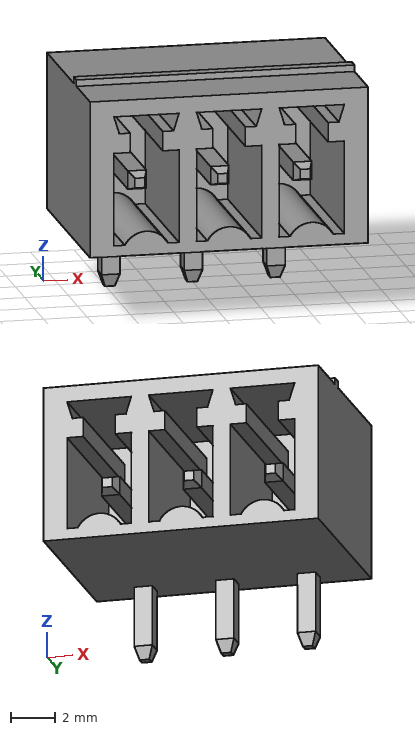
import cadquery as cq

HOUSING_WIDTH = 12.82
HOUSING_DEPTH = 9.2
HOUSING_HEIGHT = 7.25

RIB_FRONT = 2.9
RIB_DEPTH = 0.6
RIB_HEIGHT = 0.3

CONTACT_COUNT = 3
PITCH = 3.81

CAVITY_WIDTH = 3.0
CAVITY_DEPTH = 7.2
CAVITY_FLOOR = 0.5
CAVITY_TOP = 6.5
LEDGE_BOTTOM = 4.8
LEDGE_TOP = 5.7
LEDGE_GAP = 1.5
DOVETAIL_BASE_WIDTH = 2.5
HUMP_WIDTH = 2.0
HUMP_HEIGHT = 0.6

PIN_SIZE = 0.85
PIN_TIP_SIZE = 0.45
PIN_TIP_LENGTH = 0.6
PIN_AXIS_HEIGHT = 3.0
PIN_FRONT = 1.4
PIN_LEG_TO_BACK = 1.2
PIN_LEG_LENGTH = 3.4
PIN_LEG_Y = HOUSING_DEPTH - PIN_LEG_TO_BACK


def make_housing():
    """Plain block with the rib running over its full width."""
    block = cq.Workplane("XY").box(
        HOUSING_WIDTH, HOUSING_DEPTH, HOUSING_HEIGHT, centered=(True, False, False)
    )
    rib = (
        cq.Workplane("XY")
        .box(HOUSING_WIDTH, RIB_DEPTH, RIB_HEIGHT, centered=(True, False, False))
        .translate((0, RIB_FRONT, HOUSING_HEIGHT))
    )
    return block.union(rib)


def make_cavity(x):
    """Volume of one cavity: humped floor, side ledges and a dovetail top."""
    half_width = CAVITY_WIDTH / 2
    half_gap = LEDGE_GAP / 2
    half_base = DOVETAIL_BASE_WIDTH / 2
    half_hump = HUMP_WIDTH / 2
    return (
        cq.Workplane("XZ", origin=(x, 0, 0))
        .moveTo(-half_width, CAVITY_FLOOR)
        .lineTo(-half_hump, CAVITY_FLOOR)
        .threePointArc((0, CAVITY_FLOOR + HUMP_HEIGHT), (half_hump, CAVITY_FLOOR))
        .lineTo(half_width, CAVITY_FLOOR)
        .lineTo(half_width, LEDGE_BOTTOM)
        .lineTo(half_gap, LEDGE_BOTTOM)
        .lineTo(half_gap, LEDGE_TOP)
        .lineTo(half_base, LEDGE_TOP)
        .lineTo(half_width, CAVITY_TOP)
        .lineTo(-half_width, CAVITY_TOP)
        .lineTo(-half_base, LEDGE_TOP)
        .lineTo(-half_gap, LEDGE_TOP)
        .lineTo(-half_gap, LEDGE_BOTTOM)
        .lineTo(-half_width, LEDGE_BOTTOM)
        .close()
        .extrude(-CAVITY_DEPTH)
    )


def make_bar(end, direction, length):
    """Square bar of the given overall length, with its tapered tip at `end`."""
    tip_plane = cq.Plane(origin=end, xDir=(1, 0, 0), normal=direction)
    tip = (
        cq.Workplane(tip_plane)
        .rect(PIN_TIP_SIZE, PIN_TIP_SIZE)
        .workplane(offset=PIN_TIP_LENGTH)
        .rect(PIN_SIZE, PIN_SIZE)
        .loft(ruled=True)
    )
    shank = (
        cq.Workplane(tip_plane)
        .workplane(offset=PIN_TIP_LENGTH)
        .rect(PIN_SIZE, PIN_SIZE)
        .extrude(length - PIN_TIP_LENGTH)
    )
    return shank.union(tip)


def make_pin(x):
    """Right-angle pin: contact pointing forward, solder leg pointing down."""
    half_pin = PIN_SIZE / 2
    contact_length = PIN_LEG_Y + half_pin - PIN_FRONT
    leg_length = PIN_LEG_LENGTH + PIN_AXIS_HEIGHT + half_pin
    contact = make_bar((x, PIN_FRONT, PIN_AXIS_HEIGHT), (0, 1, 0), contact_length)
    leg = make_bar((x, PIN_LEG_Y, -PIN_LEG_LENGTH), (0, 0, 1), leg_length)
    return contact.union(leg)


result = make_housing()
for index in range(CONTACT_COUNT):
    contact_x = (index - (CONTACT_COUNT - 1) / 2) * PITCH
    result = result.cut(make_cavity(contact_x)).union(make_pin(contact_x))